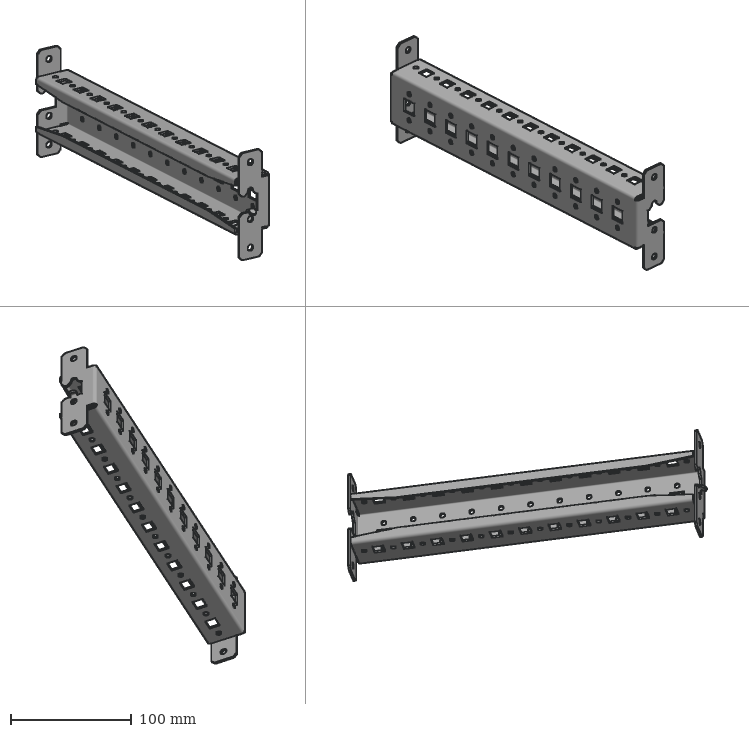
import cadquery as cq
import math


sheet = 1.8
outer_bend = 2.7
inner_bend = outer_bend - sheet
total_length = 303.3
rail_depth = 34.0
rail_height = 50.0
x_left = -total_length / 2
x_hook_tip = total_length / 2
x_right = 145.5
x_mid = (x_left + x_right) / 2
y_back = rail_depth / 2
y_front = -rail_depth / 2
z_top = rail_height / 2
channel_length = x_right - x_left - 2 * outer_bend

lip_depth = 10.0
lip_end_depth = 6.0
taper_length = 39.5

window_count = 11
window_row_span = 250.0
pitch = window_row_span / (window_count - 1)
web_window = 12.0
flange_window = 9.0
small_hole = 4.2
y_holes = -3.0
z_holes = pitch / 2

plate_height = 95.0
z_plate_top = plate_height / 2
plate_front = -14.3
plate_rear = 8.8
corner_chamfer = 3.0
screw_hole = 5.5
z_outer_screw = 38.0
notch_back = 4.2
notch_top = 8.8
notch_bottom = -6.0

fold_half_height = 22.5

hook_width = 6.0
hook_slope = math.radians(30)
hook_tip_radius = 2.7


def box_between(x_range, y_range, z_range):
    """Axis-aligned box between pairs of limits."""
    size = [high - low for low, high in (x_range, y_range, z_range)]
    corner = (x_range[0], y_range[0], z_range[0])
    return cq.Workplane("XY").box(*size, centered=False).translate(corner)


def channel_block(inset, radius):
    """Solid rail-length bar, inset from the outer faces, with rounded long edges."""
    bar = cq.Workplane("XY").box(channel_length, rail_depth - 2 * inset, rail_height - 2 * inset)
    return bar.edges("|X").fillet(radius).translate((x_mid, 0, 0))


def make_channel():
    """C-shaped rail with the lips tapered towards both ends."""
    channel = channel_block(0, outer_bend).cut(channel_block(sheet, inner_bend))
    half_length = channel_length / 2
    z_mid_lip = z_top - lip_depth
    z_end_lip = z_top - lip_end_depth
    upper = [
        (-half_length, z_end_lip),
        (-half_length + taper_length, z_mid_lip),
        (half_length - taper_length, z_mid_lip),
        (half_length, z_end_lip),
    ]
    lower = [(x, -z) for x, z in reversed(upper)]
    mouth = (
        cq.Workplane("XZ", origin=(x_mid, y_front + outer_bend, 0))
        .polyline(upper + lower)
        .close()
        .extrude(outer_bend)
    )
    return channel.cut(mouth)


def perforate(channel):
    """Square windows and small round holes through the web and both flanges."""
    window_xs = [x_mid + (i - (window_count - 1) / 2) * pitch for i in range(window_count)]
    flange_hole_xs = [window_xs[0] - pitch / 2] + [x + pitch / 2 for x in window_xs]

    web = cq.Workplane("XZ", origin=(0, y_back, 0))
    web_windows = (
        web.pushPoints([(x, 0) for x in window_xs]).rect(web_window, web_window).extrude(sheet)
    )
    web_holes = (
        web.pushPoints([(x, side * z_holes) for x in window_xs for side in (-1, 1)])
        .circle(small_hole / 2)
        .extrude(sheet)
    )

    flanges = cq.Workplane("XY", origin=(0, y_holes, -z_top))
    flange_windows = (
        flanges.pushPoints([(x, 0) for x in window_xs])
        .rect(flange_window, flange_window)
        .extrude(rail_height)
    )
    flange_holes = (
        flanges.pushPoints([(x, 0) for x in flange_hole_xs])
        .circle(small_hole / 2)
        .extrude(rail_height)
    )
    for tool in (web_windows, web_holes, flange_windows, flange_holes):
        channel = channel.cut(tool)
    return channel


def make_plate(x_min):
    """Upright end plate with three screw holes and a notch that ends in a screw slot."""
    x_range = (x_min, x_min + sheet)
    plate = box_between(x_range, (plate_front, plate_rear), (-z_plate_top, z_plate_top))
    plate = plate.edges("|X").chamfer(corner_chamfer)
    neck = box_between(
        x_range, (notch_back, y_back - outer_bend), (-fold_half_height, fold_half_height)
    )
    opening = box_between(x_range, (plate_front, notch_back), (notch_bottom, notch_top))
    half_slot = screw_hole / 2
    slot = box_between(
        x_range, (y_holes - half_slot, y_holes + half_slot), (notch_top, z_holes)
    )
    plate = plate.union(neck).cut(opening).cut(slot)
    screw_zs = (z_outer_screw, z_holes, -z_holes, -z_outer_screw)
    holes = (
        cq.Workplane("YZ", origin=(x_min, 0, 0))
        .pushPoints([(y_holes, z) for z in screw_zs])
        .circle(screw_hole / 2)
        .extrude(sheet)
    )
    plate = plate.cut(holes)

    notch_corners = [
        (plate_front, notch_bottom),
        (plate_front, notch_top),
        (y_holes - half_slot, notch_top),
        (y_holes + half_slot, notch_top),
    ]
    x_centre = x_min + sheet / 2
    for y, z in notch_corners:
        nearest = cq.selectors.NearestToPointSelector((x_centre, y, z))
        plate = plate.edges("|X").edges(nearest).chamfer(corner_chamfer)
    return plate


def make_fold(x_outer, side):
    """Quarter-round bend from the web into a plate; side is -1 at the left, 1 at the right."""
    centre = (x_outer - side * outer_bend, y_back - outer_bend)
    ring = (
        cq.Workplane("XY", origin=(*centre, -fold_half_height))
        .circle(outer_bend)
        .circle(inner_bend)
        .extrude(2 * fold_half_height)
    )
    x_range = sorted((centre[0], x_outer))
    quadrant = box_between(x_range, (centre[1], y_back), (-fold_half_height, fold_half_height))
    return ring.intersect(quadrant)


def make_hook():
    """Tab rising from the right plate's notch, bent over outwards and sloping down."""
    centre_x = x_right - sheet + outer_bend
    centre_z = notch_bottom

    def on_bend(radius, angle):
        return centre_x + radius * math.cos(angle), centre_z + radius * math.sin(angle)

    bend_end = math.pi / 2 - hook_slope
    bend_middle = (math.pi + bend_end) / 2
    upper_start = on_bend(outer_bend, bend_end)
    lower_start = on_bend(inner_bend, bend_end)
    run = x_hook_tip - upper_start[0]
    drop = run * math.tan(hook_slope)
    hook = (
        cq.Workplane("XZ", origin=(0, y_holes + hook_width / 2, 0))
        .moveTo(x_right - sheet, notch_bottom)
        .threePointArc(on_bend(outer_bend, bend_middle), upper_start)
        .lineTo(x_hook_tip, upper_start[1] - drop)
        .lineTo(lower_start[0] + run, lower_start[1] - drop)
        .lineTo(*lower_start)
        .threePointArc(on_bend(inner_bend, bend_middle), on_bend(inner_bend, math.pi))
        .close()
        .extrude(hook_width)
    )
    return hook.faces(">X").edges("not |Y").fillet(hook_tip_radius)


result = perforate(make_channel())
result = result.union(make_fold(x_left, -1)).union(make_plate(x_left))
result = result.union(make_fold(x_right, 1)).union(make_plate(x_right - sheet))
result = result.union(make_hook())